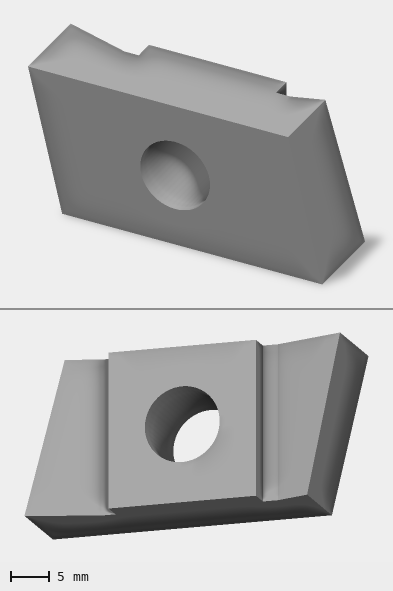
import cadquery as cq

length = 43.0
depth = 12.0
height = 21.0

end_lean = 5.0

pad_width = 20.1
groove_floor_width = 2.05
groove_depth = 2.92

hole_diameter = 10.2

half_length = length / 2
half_depth = depth / 2
half_height = height / 2
half_pad = pad_width / 2
floor_end = half_pad + groove_floor_width
floor_y = half_depth - groove_depth


def grooved_bar():
    """Bar with the grooved back, extruded along Z."""
    return (
        cq.Workplane("XY")
        .workplane(offset=-half_height)
        .polyline([
            (-half_length, -half_depth),
            (half_length, -half_depth),
            (half_length, half_depth),
            (floor_end, floor_y),
            (half_pad, floor_y),
            (half_pad, half_depth),
            (-half_pad, half_depth),
            (-half_pad, floor_y),
            (-floor_end, floor_y),
            (-half_length, half_depth),
        ])
        .close()
        .extrude(height)
    )


def leaning_block():
    """Parallelogram block that gives the bar its slanted ends."""
    return (
        cq.Workplane("XZ")
        .polyline([
            (-half_length, half_height),
            (half_length - end_lean, half_height),
            (half_length, -half_height),
            (-half_length + end_lean, -half_height),
        ])
        .close()
        .extrude(half_depth, both=True)
    )


def through_hole():
    """Round hole through the full depth, along Y."""
    return cq.Workplane("XZ").circle(hole_diameter / 2).extrude(half_depth, both=True)


result = grooved_bar().intersect(leaning_block()).cut(through_hole())